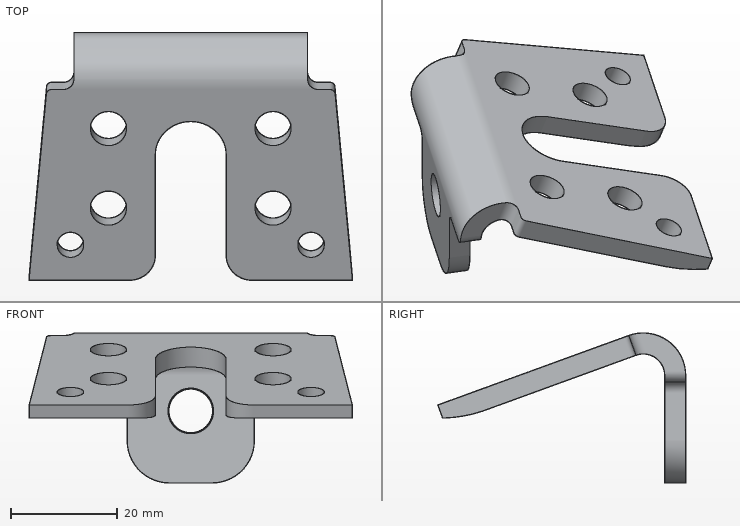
import cadquery as cq
import math

SHEET = 4.0
BEND_INNER_R = 4.0
BEND_OUTER_R = BEND_INNER_R + SHEET
PLATE_SLOPE = 20.0

OVERALL_DEPTH = 46.71
FRONT_WIDTH = 60.88
SIDE_TAPER = 5.0
SHOULDER_CORNER_R = 1.0
TIP_THICKNESS = 2.64
TIP_ARC_R = 25.0

NECK_WIDTH = 44.0
NECK_FILLET_R = 2.0

SLOT_WIDTH = 13.3
SLOT_END_STATION = 6.45
SLOT_MOUTH_R = 5.0

PLATE_HOLES = [
    (6.8, 15.5, 7.85),
    (6.8, 15.5, 23.8),
    (5.0, 22.65, 31.15),
]

OVERALL_HEIGHT = 28.29
TAB_WIDTH = 24.0
TAB_CORNER_R = 8.0
TAB_SHOULDER_Z = -1.3
TAB_SHOULDER_R = 2.0
TAB_HOLE_DIAMETER = 8.2
TAB_HOLE_CHAMFER = 0.2
TAB_HOLE_Z = -6.7

SLOPE = math.radians(PLATE_SLOPE)
BEND_END_Y = -BEND_OUTER_R * math.sin(SLOPE)
PLATE_LENGTH = (OVERALL_DEPTH - BEND_OUTER_R + BEND_END_Y) / math.cos(SLOPE)
SHOULDER_WIDTH = FRONT_WIDTH - 2 * PLATE_LENGTH * math.tan(math.radians(SIDE_TAPER))
TAB_BOTTOM_Z = BEND_OUTER_R - OVERALL_HEIGHT
PLATE_TOP = BEND_OUTER_R
CLEARANCE = 1.0
REACH = 2 * OVERALL_DEPTH


def plate_plan():
    """Plan plane of the plate: local x = X, local y = up the slope, so stations are negative y."""
    upward = (0, -math.sin(SLOPE), math.cos(SLOPE))
    return cq.Workplane(cq.Plane(origin=(0, 0, 0), xDir=(1, 0, 0), normal=upward))


def bent_strip():
    """Full-width bend and sloping plate, thinned by an arc under the front tip."""
    tip_rise = SHEET - TIP_THICKNESS
    arc_angle = math.acos(1 - tip_rise / TIP_ARC_R)
    arc_start = PLATE_LENGTH - TIP_ARC_R * math.sin(arc_angle)
    arc_middle = (
        arc_start + TIP_ARC_R * math.sin(arc_angle / 2),
        BEND_INNER_R + TIP_ARC_R * (1 - math.cos(arc_angle / 2)),
    )
    tab_direction = math.pi + SLOPE
    mid_direction = (math.pi / 2 + tab_direction) / 2
    down_slope = (0, -math.cos(SLOPE), -math.sin(SLOPE))
    section = cq.Plane(origin=(FRONT_WIDTH / 2, 0, 0), xDir=down_slope, normal=(-1, 0, 0))

    def on_bend(radius, direction):
        return (radius * math.cos(direction), radius * math.sin(direction))

    return (
        cq.Workplane(section)
        .moveTo(*on_bend(BEND_OUTER_R, tab_direction))
        .threePointArc(on_bend(BEND_OUTER_R, mid_direction), (0, BEND_OUTER_R))
        .lineTo(PLATE_LENGTH, PLATE_TOP)
        .lineTo(PLATE_LENGTH, PLATE_TOP - TIP_THICKNESS)
        .threePointArc(arc_middle, (arc_start, BEND_INNER_R))
        .lineTo(0, BEND_INNER_R)
        .threePointArc(on_bend(BEND_INNER_R, mid_direction), on_bend(BEND_INNER_R, tab_direction))
        .close()
        .extrude(FRONT_WIDTH)
    )


def fillet_edge_at(prism, x, plan_y, radius):
    """Round the prism edge standing at (x, plan_y) of the plate plan."""
    foot = plate_plan().plane.toWorldCoords((x, plan_y, 0))
    return prism.edges(cq.NearestToPointSelector(foot.toTuple())).fillet(radius)


def plate_blank():
    """Tapered plate outline with its neck, as a prism square to the plate."""
    taper = (
        plate_plan()
        .polyline([
            (-FRONT_WIDTH / 2, -PLATE_LENGTH),
            (FRONT_WIDTH / 2, -PLATE_LENGTH),
            (SHOULDER_WIDTH / 2, 0),
            (-SHOULDER_WIDTH / 2, 0),
        ])
        .close()
        .extrude(REACH, both=True)
    )
    neck_length = 2 * BEND_OUTER_R
    neck = (
        plate_plan()
        .center(0, neck_length / 2)
        .rect(NECK_WIDTH, neck_length)
        .extrude(REACH, both=True)
    )
    blank = taper.union(neck)
    for side in (-1, 1):
        blank = fillet_edge_at(blank, side * SHOULDER_WIDTH / 2, 0, SHOULDER_CORNER_R)
        blank = fillet_edge_at(blank, side * NECK_WIDTH / 2, 0, NECK_FILLET_R)
    return blank


def slot_cutter():
    """Round-ended slot, open at the front edge, flaring through rounded mouth corners."""
    half = SLOT_WIDTH / 2
    mouth = half + SLOT_MOUTH_R
    arc_offset = SLOT_MOUTH_R * (1 - math.sqrt(0.5))
    flare_y = SLOT_MOUTH_R - PLATE_LENGTH
    flare_mid_y = arc_offset - PLATE_LENGTH
    return (
        plate_plan()
        .moveTo(-mouth, -PLATE_LENGTH)
        .threePointArc((-half - arc_offset, flare_mid_y), (-half, flare_y))
        .lineTo(-half, -SLOT_END_STATION - half)
        .threePointArc((0, -SLOT_END_STATION), (half, -SLOT_END_STATION - half))
        .lineTo(half, flare_y)
        .threePointArc((half + arc_offset, flare_mid_y), (mouth, -PLATE_LENGTH))
        .close()
        .extrude(PLATE_TOP + CLEARANCE)
    )


def plate_hole_cutters():
    """Mirrored pairs of holes square to the plate."""
    cutters = cq.Workplane()
    for diameter, x, station in PLATE_HOLES:
        centers = plate_plan().pushPoints([(-x, -station), (x, -station)])
        cutters = cutters.add(centers.circle(diameter / 2).extrude(PLATE_TOP + CLEARANCE))
    return cutters.combine()


def tab():
    """Vertical tab below the bend, narrowing at a square shoulder from neck width to tab width."""
    half_tab = TAB_WIDTH / 2
    collar = (
        cq.Workplane("XZ", origin=(0, BEND_OUTER_R, 0))
        .center(0, TAB_SHOULDER_Z / 2)
        .rect(NECK_WIDTH, -TAB_SHOULDER_Z)
        .extrude(SHEET)
    )
    tongue = (
        cq.Workplane("XZ", origin=(0, BEND_OUTER_R, 0))
        .moveTo(-half_tab, 0)
        .lineTo(half_tab, 0)
        .lineTo(half_tab, TAB_BOTTOM_Z)
        .lineTo(-half_tab, TAB_BOTTOM_Z)
        .close()
        .extrude(SHEET)
        .edges("|Y and <Z")
        .fillet(TAB_CORNER_R)
    )
    return collar.union(tongue)


def round_tab_shoulders(body):
    """Round the outer and inner corner of each shoulder; the outer rounds run up into the bend."""
    middle_y = BEND_OUTER_R - SHEET / 2
    for side in (-1, 1):
        for width in (NECK_WIDTH, TAB_WIDTH):
            corner = (side * width / 2, middle_y, TAB_SHOULDER_Z)
            body = body.edges(cq.NearestToPointSelector(corner)).fillet(TAB_SHOULDER_R)
    return body


def tab_hole_cutter():
    """Through hole in the tab, chamfered on the face under the plate."""
    front_face = cq.Workplane("XZ", origin=(0, BEND_INNER_R, 0)).center(0, TAB_HOLE_Z)
    radius = TAB_HOLE_DIAMETER / 2
    bore = front_face.circle(radius).extrude(-SHEET)
    chamfer = front_face.circle(radius + TAB_HOLE_CHAMFER).extrude(-TAB_HOLE_CHAMFER, taper=45)
    return bore.union(chamfer)


plate = bent_strip().intersect(plate_blank()).cut(slot_cutter()).cut(plate_hole_cutters())
result = round_tab_shoulders(plate.union(tab())).cut(tab_hole_cutter())